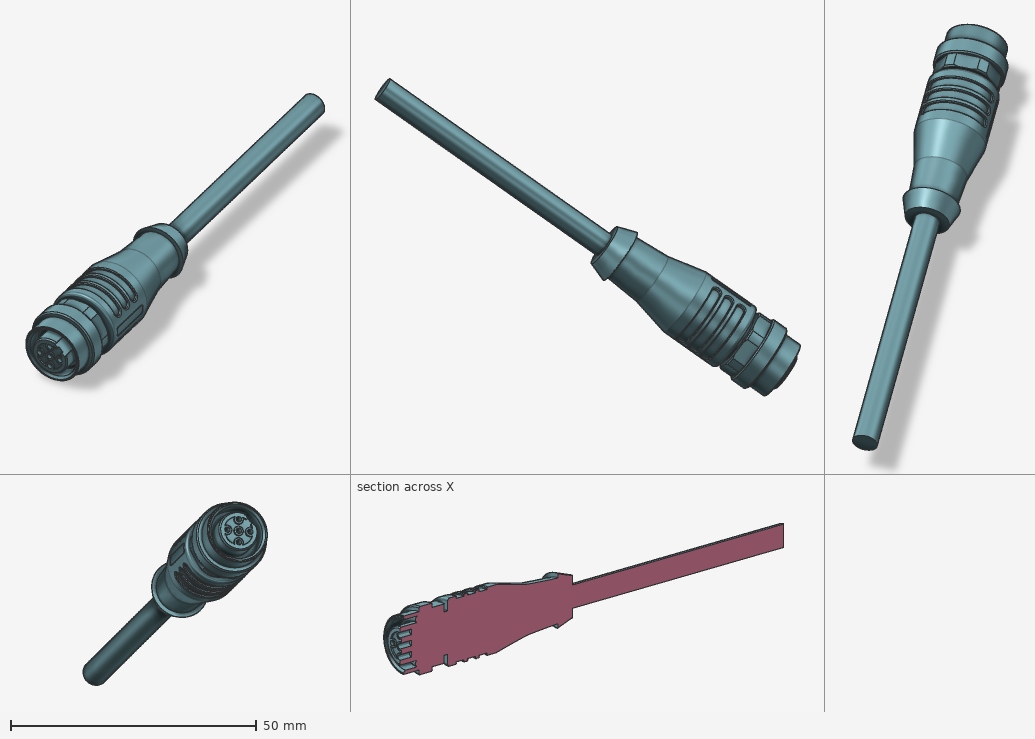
import cadquery as cq
import math


TOTAL_LENGTH = 101.7
SLEEVE_FRONT = 0.9
RING_FRONT = 5.0
RING_BACK = 8.6
HEX_BACK = 11.8
GRIP_FRONT = 12.6
GRIP_BACK = 25.5
TAPER_BACK = 33.8
COLLAR_FRONT = 41.8
COLLAR_BACK = 45.8

BODY_DIAMETER = 15.0
CABLE_DIAMETER = 5.2
NECK_DIAMETER = 9.6
TAPER_BACK_DIAMETER = 11.2
TAIL_DIAMETER = 10.1
COLLAR_DIAMETER = 12.0
COLLAR_BACK_DIAMETER = 9.3
SLEEVE_DIAMETER = 12.8
MOUTH_DIAMETER = 12.0
BORE_DIAMETER = 11.0
INSERT_DIAMETER = 8.3

HEX_SIDES = 6
HEX_ACROSS_FLATS = 13.0
HEX_CORNER_DIAMETER = 13.9
NUT_CHAMFER = 0.3
SLEEVE_CHAMFER = 0.15
BORE_DEPTH = 3.8
BORE_FLOOR = SLEEVE_FRONT + BORE_DEPTH

GRIP_EDGE_RADIUS = 0.6
GROOVE_COUNT = 3
GROOVE_PITCH = 3.1
GROOVE_WIDTH = 1.9
GROOVE_DEPTH = 0.5
GROOVE_EDGE_CHAMFER = 0.2
GROOVE_END_HEIGHT = 3.0
FIRST_GROOVE = 16.0
PANEL_LENGTH = 9.9
PANEL_WIDTH = 2.1
PANEL_CORNER_RADIUS = 0.6
PANEL_DEPTH = 0.2
PANEL_CENTER = 19.1

SURFACE_TOLERANCE = 0.01

INSERT_CHAMFER = 0.3
CONTACT_COUNT = 4
CONTACT_CIRCLE_RADIUS = 2.4
CONTACT_DIAMETER = 1.1
CONTACT_DEPTH = 3.1
SOCKET_COLLAR_DIAMETER = 1.9
FACE_RECESS_DIAMETER = 6.1
FACE_RECESS_DEPTH = 0.4
KEY_ANGLE = 45.0
KEY_SLOT_WIDTH = 1.3
KEY_NOTCH_WIDTH = 3.3
KEY_NOTCH_DEPTH = 0.7


def cylinder(diameter, start, end):
    """Cylinder on the plug axis between two axial stations."""
    return cq.Workplane("XZ", origin=(0, start, 0)).circle(diameter / 2).extrude(start - end)


def cone(front_diameter, back_diameter, start, end):
    """Frustum on the plug axis."""
    outline = [(0, start), (front_diameter / 2, start), (back_diameter / 2, end), (0, end)]
    return cq.Workplane("XY").polyline(outline).close().revolve(360, (0, 0, 0), (0, 1, 0))


def make_overmold():
    """Grip, tapered tail and collar molded around the cable."""
    grip = cylinder(BODY_DIAMETER, GRIP_FRONT, GRIP_BACK).faces("<Y").edges().fillet(GRIP_EDGE_RADIUS)
    taper = cone(BODY_DIAMETER, TAPER_BACK_DIAMETER, GRIP_BACK, TAPER_BACK)
    tail = cone(TAPER_BACK_DIAMETER, TAIL_DIAMETER, TAPER_BACK, COLLAR_FRONT)
    collar = cone(COLLAR_DIAMETER, COLLAR_BACK_DIAMETER, COLLAR_FRONT, COLLAR_BACK)
    cable = cylinder(CABLE_DIAMETER, COLLAR_BACK, TOTAL_LENGTH)
    return cut_panels(cut_grooves(grip)).union(taper).union(tail).union(collar).union(cable)


def cut_grooves(grip):
    """Rows of round-ended grooves wrap the upper and lower sides of the grip."""
    slot_length = BODY_DIAMETER
    slot_center = GROOVE_END_HEIGHT + slot_length / 2
    centers = [
        (FIRST_GROOVE + row * GROOVE_PITCH, side * slot_center)
        for row in range(GROOVE_COUNT)
        for side in (-1, 1)
    ]
    slots = (
        cq.Workplane("YZ")
        .pushPoints(centers)
        .slot2D(slot_length, GROOVE_WIDTH, 90)
        .extrude(BODY_DIAMETER, both=True)
    )
    floor = cylinder(BODY_DIAMETER - 2 * GROOVE_DEPTH, GRIP_FRONT, GRIP_BACK)
    grooved = grip.cut(slots.cut(floor))
    return grooved.edges().filter(is_groove_rim).chamfer(GROOVE_EDGE_CHAMFER)


def is_groove_rim(edge):
    """True for an edge where a groove wall meets the outer surface of the grip."""
    middle = edge.positionAt(0.5)
    on_surface = abs(math.hypot(middle.x, middle.z) - BODY_DIAMETER / 2) < SURFACE_TOLERANCE
    between_ends = GRIP_FRONT + GRIP_EDGE_RADIUS < middle.y < GRIP_BACK - SURFACE_TOLERANCE
    beyond_slot_ends = abs(middle.z) > GROOVE_END_HEIGHT - SURFACE_TOLERANCE
    return on_surface and between_ends and beyond_slot_ends


def cut_panels(grip):
    """A shallow flat-bottomed panel on each side of the grip."""
    floor_offset = BODY_DIAMETER / 2 - PANEL_DEPTH
    for side in (-1, 1):
        panel = (
            cq.Workplane("YZ", origin=(side * floor_offset, PANEL_CENTER, 0))
            .rect(PANEL_LENGTH, PANEL_WIDTH)
            .extrude(side * 2 * PANEL_DEPTH)
            .edges("|X")
            .fillet(PANEL_CORNER_RADIUS)
        )
        grip = grip.cut(panel)
    return grip


def make_nut():
    """Coupling nut: ring, rounded hexagon behind it and a hollow sleeve in front."""
    ring = cylinder(BODY_DIAMETER, RING_FRONT, RING_BACK).edges().chamfer(NUT_CHAMFER)
    hex_prism = (
        cq.Workplane("XZ", origin=(0, RING_BACK, 0))
        .polygon(HEX_SIDES, HEX_ACROSS_FLATS / math.cos(math.pi / HEX_SIDES))
        .extrude(RING_BACK - HEX_BACK)
    )
    corner_rounding = cylinder(HEX_CORNER_DIAMETER, RING_BACK, HEX_BACK).faces(">Y").chamfer(NUT_CHAMFER)
    hex_grip = hex_prism.intersect(corner_rounding)
    sleeve = cylinder(SLEEVE_DIAMETER, SLEEVE_FRONT, RING_FRONT).faces("<Y").chamfer(SLEEVE_CHAMFER)
    bore = cylinder(BORE_DIAMETER, SLEEVE_FRONT, BORE_FLOOR)
    mouth_depth = (MOUTH_DIAMETER - BORE_DIAMETER) / 2
    mouth = cone(MOUTH_DIAMETER, BORE_DIAMETER, SLEEVE_FRONT, SLEEVE_FRONT + mouth_depth)
    return ring.union(hex_grip).union(sleeve).cut(bore).cut(mouth)


def make_seal():
    """Sealing ring half sunk in the floor of the bore, filling the gap around the insert."""
    tube_radius = (BORE_DIAMETER - INSERT_DIAMETER) / 4
    center_radius = (BORE_DIAMETER + INSERT_DIAMETER) / 4
    return (
        cq.Workplane("XY", origin=(center_radius, BORE_FLOOR, 0))
        .circle(tube_radius)
        .revolve(360, (-center_radius, 0, 0), (-center_radius, 1, 0))
    )


def make_insert():
    """Contact carrier with five collared sockets in a recessed face and a coding keyway."""
    insert = cylinder(INSERT_DIAMETER, 0, RING_FRONT).faces("<Y").chamfer(INSERT_CHAMFER)
    face = cq.Workplane("XZ")
    sockets = [(0, 0)]
    for index in range(CONTACT_COUNT):
        angle = 2 * math.pi * index / CONTACT_COUNT
        sockets.append((CONTACT_CIRCLE_RADIUS * math.cos(angle), CONTACT_CIRCLE_RADIUS * math.sin(angle)))
    holes = face.pushPoints(sockets).circle(CONTACT_DIAMETER / 2).extrude(-CONTACT_DEPTH)
    collars = face.pushPoints(sockets).circle(SOCKET_COLLAR_DIAMETER / 2).extrude(-FACE_RECESS_DEPTH)
    recess = cylinder(FACE_RECESS_DIAMETER, 0, FACE_RECESS_DEPTH).cut(collars)
    key_slot = key_cut(KEY_SLOT_WIDTH, SOCKET_COLLAR_DIAMETER / 2, FACE_RECESS_DEPTH)
    key_notch = key_cut(KEY_NOTCH_WIDTH, INSERT_DIAMETER / 2 - KEY_NOTCH_DEPTH, BORE_FLOOR)
    return insert.cut(recess).cut(key_slot).cut(key_notch).cut(holes)


def key_cut(width, inner_radius, depth):
    """Block that opens the insert outward from a given radius along the key direction."""
    radial_length = INSERT_DIAMETER / 2 - inner_radius
    return (
        cq.Workplane("XZ", origin=(inner_radius + radial_length / 2, 0, 0))
        .rect(radial_length, width)
        .extrude(-depth)
        .rotate((0, 0, 0), (0, 1, 0), -KEY_ANGLE)
    )


neck = cylinder(NECK_DIAMETER, RING_FRONT, GRIP_FRONT)
result = make_overmold().union(neck).union(make_nut()).union(make_seal()).union(make_insert())